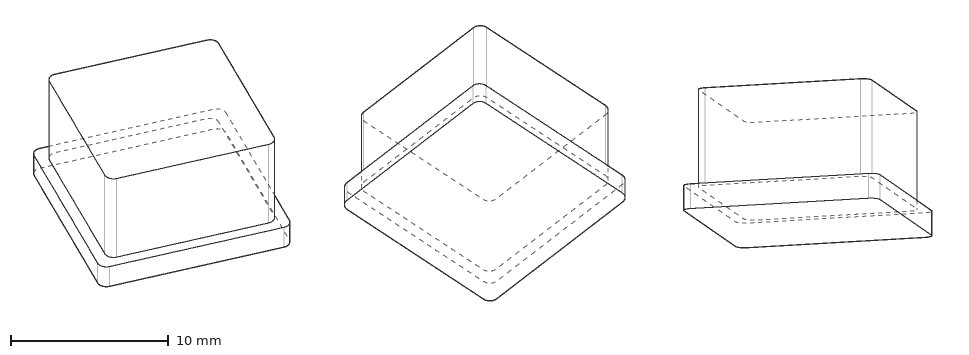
import cadquery as cq

flange_side = 12.95
flange_thickness = 1.6
cap_side = 11.43
total_height = 7.94
corner_diameter = 1.18

cap_height = total_height - flange_thickness
corner_radius = corner_diameter / 2


def rounded_square_block(side, height, bottom):
    """Square block centred on Z with rounded vertical edges."""
    block = cq.Workplane("XY").workplane(offset=bottom).rect(side, side).extrude(height)
    return block.edges("|Z").fillet(corner_radius)


flange = rounded_square_block(flange_side, flange_thickness, 0)
cap = rounded_square_block(cap_side, cap_height, flange_thickness)

result = flange.union(cap)